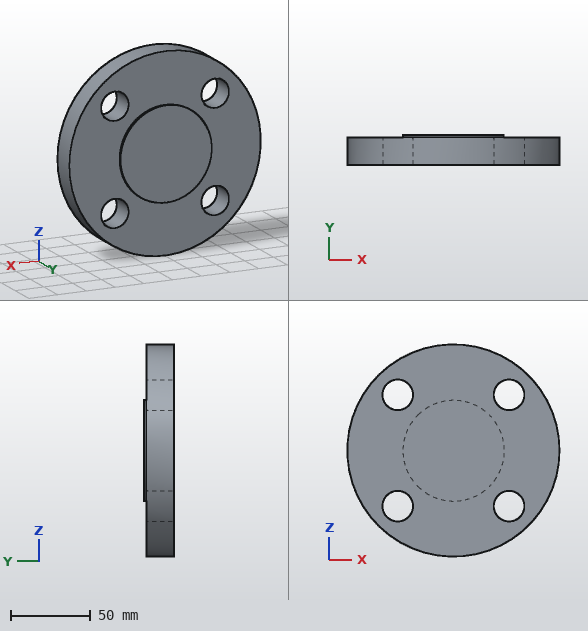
import cadquery as cq

flange_diameter = 133.4
overall_thickness = 19.1
raised_face_diameter = 63.5
raised_face_height = 1.6
bolt_circle_diameter = 98.8
bolt_hole_diameter = 19.1
bolt_hole_count = 4
first_bolt_angle = 45.0

disc_thickness = overall_thickness - raised_face_height

disc = cq.Workplane("XZ").circle(flange_diameter / 2).extrude(-disc_thickness)

raised_face = (
    cq.Workplane("XZ", origin=(0, disc_thickness, 0))
    .circle(raised_face_diameter / 2)
    .extrude(-raised_face_height)
)

bolt_holes = (
    cq.Workplane("XZ")
    .polarArray(bolt_circle_diameter / 2, first_bolt_angle, 360, bolt_hole_count)
    .circle(bolt_hole_diameter / 2)
    .extrude(-disc_thickness)
)

result = disc.union(raised_face).cut(bolt_holes)